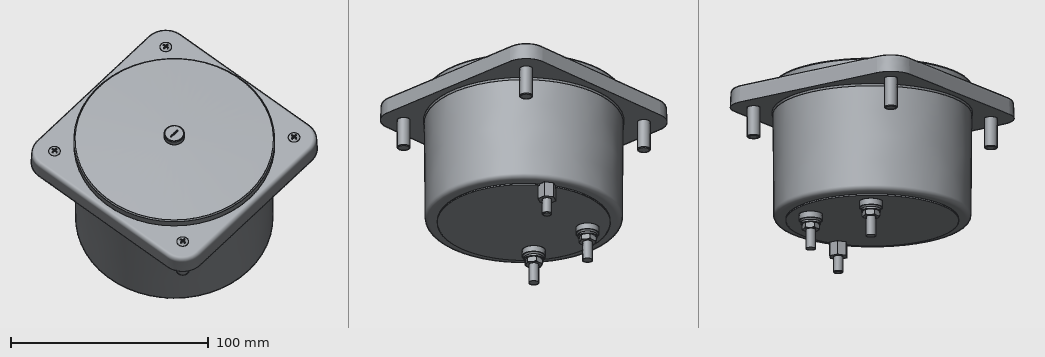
import cadquery as cq
import math


bezel_side = 109.4
bezel_height = 9.4
bezel_corner_radius = 11.8
bezel_draft_angle = 2.5
bezel_edge_radius = 2.2

window_radius = 50.8
window_top = 13.7
window_chamfer = 0.7
dome_apex = 16.1

adjuster_radius = 5.1
adjuster_top = 18.9
adjuster_chamfer = 0.4
slot_length = 5.3
slot_width = 0.4
slot_depth = 0.7

housing_neck_radius = window_radius
housing_neck_height = 1.1
housing_top_radius = 50.3
housing_bottom_radius = 49.9
housing_depth = 56.1
housing_edge_radius = 2.5
back_plate_radius = 43.8
back_plate_depth = 56.9

screw_offset = bezel_side / 2 - bezel_corner_radius
screw_shank_radius = 3.3
screw_shank_length = 15.6
screw_tip_chamfer = 0.4
screw_head_radius = 3.0
screw_head_rise = 0.9
recess_length = 3.1
recess_width = 0.5
recess_depth = 1.1

terminal_x = 18.8
terminal_y = -26.9
collar_radius = 5.9
collar_bottom = 60.1
cone_top_radius = 5.6
cone_bottom = 60.9
washer_radius = 4.9
washer_bottom = 61.9
nut_across_flats = 7.9
nut_bottom = 64.9
nut_corner_chamfer = 0.4
terminal_radius = 2.5
terminal_bottom = 74.9

post_x = -36.9
post_y = 21.4
post_across_flats = 8.2
post_bottom = 64.0
post_stud_radius = 2.4
post_stud_bottom = 72.3
post_stud_chamfer = 0.4


def cylinder(x, y, radius, bottom, top):
    return cq.Workplane("XY", origin=(x, y, bottom)).circle(radius).extrude(top - bottom)


def hexagon(x, y, across_flats, bottom, top, turn=0):
    across_corners = across_flats / math.cos(math.radians(30))
    return (
        cq.Workplane("XY", origin=(x, y, bottom))
        .transformed(rotate=(0, 0, turn))
        .polygon(6, across_corners)
        .extrude(top - bottom)
    )


def spherical_cap(x, y, rim_radius, bottom, rim, apex):
    """Round block from bottom up to rim, topped by a sphere segment reaching apex."""
    rise = apex - rim
    sphere_radius = (rim_radius**2 + rise**2) / (2 * rise)
    half_way = rim_radius / 2
    half_way_height = apex - sphere_radius + math.sqrt(sphere_radius**2 - half_way**2)
    return (
        cq.Workplane("XZ")
        .moveTo(0, bottom)
        .lineTo(rim_radius, bottom)
        .lineTo(rim_radius, rim)
        .threePointArc((half_way, half_way_height), (0, apex))
        .close()
        .revolve(360, (0, 0), (0, 1))
        .translate((x, y, 0))
    )


def make_bezel():
    outline = cq.Sketch().rect(bezel_side, bezel_side).vertices().fillet(bezel_corner_radius)
    return (
        cq.Workplane("XY")
        .placeSketch(outline)
        .extrude(bezel_height, taper=bezel_draft_angle)
        .faces(">Z")
        .edges()
        .fillet(bezel_edge_radius)
    )


def make_window():
    ring = cylinder(0, 0, window_radius, 0, window_top).faces(">Z").edges().chamfer(window_chamfer)
    dome = spherical_cap(0, 0, window_radius - window_chamfer, 0, window_top, dome_apex)
    return ring.union(dome)


def make_adjuster():
    knob = cylinder(0, 0, adjuster_radius, 0, adjuster_top)
    knob = knob.faces(">Z").edges().chamfer(adjuster_chamfer)
    return knob.faces(">Z").workplane().rect(slot_width, slot_length).cutBlind(-slot_depth)


def make_housing():
    return (
        cq.Workplane("XZ")
        .lineTo(housing_neck_radius, 0)
        .lineTo(housing_top_radius, -housing_neck_height)
        .lineTo(housing_bottom_radius, -housing_depth)
        .lineTo(0, -housing_depth)
        .close()
        .revolve(360, (0, 0), (0, 1))
        .faces("<Z")
        .edges()
        .fillet(housing_edge_radius)
    )


def make_screw(x, y):
    shank = cylinder(x, y, screw_shank_radius, -screw_shank_length, 0)
    shank = shank.faces("<Z").edges().chamfer(screw_tip_chamfer)
    head_top = bezel_height + screw_head_rise
    return shank.union(spherical_cap(x, y, screw_head_radius, 0, bezel_height, head_top))


def make_cross_recess(x, y):
    top = cq.Workplane("XY", origin=(x, y, bezel_height + screw_head_rise))
    one_arm = top.rect(recess_length, recess_width).extrude(-recess_depth)
    other_arm = top.rect(recess_width, recess_length).extrude(-recess_depth)
    return one_arm.union(other_arm)


def make_nut(x, y):
    """Hexagonal nut with two corners along Y and its corners bevelled at both ends."""
    hexagonal_nut = hexagon(x, y, nut_across_flats, -nut_bottom, -washer_bottom, turn=90)
    corner_radius = nut_across_flats / 2 / math.cos(math.radians(30))
    bevel = cylinder(x, y, corner_radius, -nut_bottom, -washer_bottom)
    bevel = bevel.faces("<Z or >Z").edges().chamfer(nut_corner_chamfer)
    return hexagonal_nut.intersect(bevel)


def make_terminal(x, y):
    turned_body = (
        cq.Workplane("XZ")
        .moveTo(0, -housing_depth)
        .lineTo(collar_radius, -housing_depth)
        .lineTo(collar_radius, -collar_bottom)
        .lineTo(cone_top_radius, -collar_bottom)
        .lineTo(washer_radius, -cone_bottom)
        .lineTo(washer_radius, -washer_bottom)
        .lineTo(terminal_radius, -washer_bottom)
        .lineTo(terminal_radius, -terminal_bottom)
        .lineTo(0, -terminal_bottom)
        .close()
        .revolve(360, (0, 0), (0, 1))
        .translate((x, y, 0))
    )
    return turned_body.union(make_nut(x, y))


def make_post():
    post = hexagon(post_x, post_y, post_across_flats, -post_bottom, -housing_depth)
    stud = cylinder(post_x, post_y, post_stud_radius, -post_stud_bottom, -post_bottom)
    stud = stud.faces("<Z").edges().chamfer(post_stud_chamfer)
    return post.union(stud)


back_plate = cylinder(0, 0, back_plate_radius, -back_plate_depth, -housing_depth)

result = make_bezel().union(make_window()).union(make_adjuster())
result = result.union(make_housing()).union(back_plate).union(make_post())

for side in (-1, 1):
    result = result.union(make_terminal(side * terminal_x, terminal_y))

for x_side in (-1, 1):
    for y_side in (-1, 1):
        screw_x = x_side * screw_offset
        screw_y = y_side * screw_offset
        result = result.union(make_screw(screw_x, screw_y))
        result = result.cut(make_cross_recess(screw_x, screw_y))